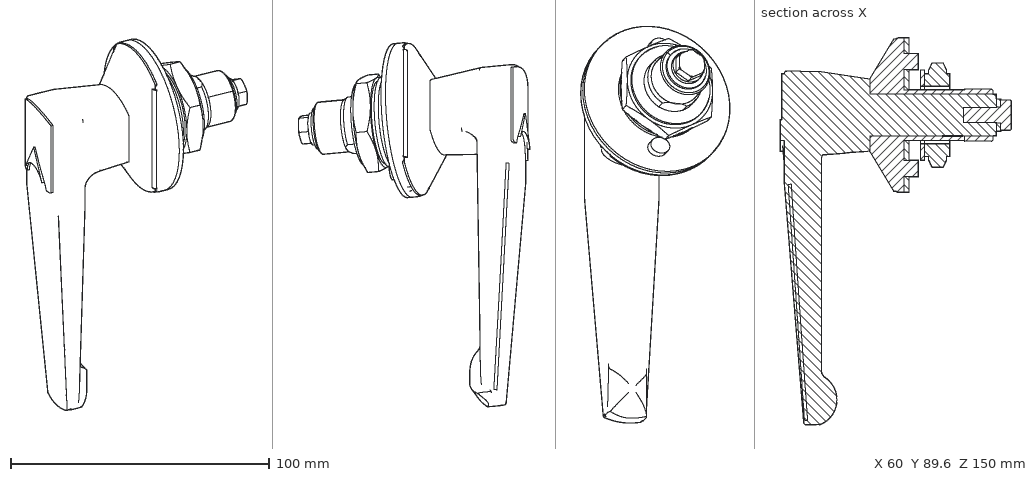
import cadquery as cq
import math


rosette_radius = 30.0
gasket_thickness = 1.8
rosette_face_y = -6.0
rim_fillet = 2.1
rosette_top_y = -15.3
shoulder_base_half_width = 17.2
shoulder_base_radius = 29.5
shoulder_foot_fillet = 1.8
shoulder_foot_length = 44.4
shoulder_edge_fillet = 1.0
stud_offset = 20.7
stud_length = 3.6
stud_width = 7.8
stud_height = 6.5

housing_radius = 11.1
housing_flat = 9.9
housing_shoulder_y = 20.0
housing_end_y = 21.5
shaft_radius = 8.1
shaft_end_y = 33.7

collar_radius = 10.2
collar_end_y = 32.5
collar_chamfer = 0.6
lug_start_angle = 39.0
lug_end_angle = 123.0

washer_radius = 17.5
washer_start_y = 4.3
washer_end_y = 6.0
nut_boss_radius = 16.12
nut_hex_start_y = 7.5
nut_hex_end_y = 14.5
nut_end_y = 15.7
nut_across_flats = 35.1
nut_corner_chamfer = 1.3

bolt_washer_radius = 6.3
bolt_washer_end_y = 35.5
bolt_end_y = 39.6
bolt_head_corner_diameter = 11.8
bolt_head_chamfer = 0.5
bolt_radius = 3.0
bolt_shank_end_y = 21.0

head_half_width = 13.3
head_arc_radius = 25.2
neck_height = 14.1
head_top = 17.1
neck_end_y = -35.1
neck_end_bottom = -15.6
lever_rear_y = -33.9
neck_corner_radius = 6.0
head_front_y = -49.3
lever_front_y = -48.5
crown_sag = 1.8
lever_break_z = -25.5
lever_taper_z = -26.8
lever_end_z = rosette_radius - 150.0
lever_end_front_y = -40.8
lever_end_half_width = 8.0
lever_end_sag = 1.0
handle_edge_fillet = 1.0
head_front_fillet = 1.0

bulb_radius = 10.3
bulb_center_y = -38.2
bulb_center_z = -110.2
bulb_edge_y = -34.2
bulb_blend_radius = 3.3

panel_half_width = 11.4
panel_bottom = -17.2
panel_corner_radius = 0.9
panel_arch_radius = 8.4
panel_arch_top = -9.9
arrow_tip_z = -1.8
arrow_front_y = -50.0


def at_y(y):
    """Sketch plane across the turning axis: local x is X, local y is Z, extrusion runs toward -Y."""
    return cq.Workplane("XZ", origin=(0, y, 0))


def disc(radius, start_y, end_y):
    """Cylinder about the turning axis from start_y back to end_y."""
    return at_y(end_y).circle(radius).extrude(end_y - start_y)


def arc_sag(half_width, radius):
    return radius - math.sqrt(radius**2 - half_width**2)


def barrel(plane, half_width, top, bottom, radius):
    """Upright-sided outline with arcs of one radius bulging at the top and the bottom."""
    sag = arc_sag(half_width, radius)
    return (
        plane.moveTo(-half_width, bottom + sag)
        .threePointArc((0, bottom), (half_width, bottom + sag))
        .lineTo(half_width, top - sag)
        .threePointArc((0, top), (-half_width, top - sag))
        .close()
    )


def barrel_loft(start_y, start_outline, end_y, end_outline):
    start = barrel(at_y(start_y), *start_outline)
    end = barrel(start.workplane(offset=start_y - end_y), *end_outline)
    return end.loft(ruled=True, combine=True)


def revolved(points):
    """Turns (radius, y) points about the turning axis."""
    return cq.Workplane("XY").polyline(points).close().revolve(360, (0, 0, 0), (0, 1, 0))


def studs(start_y):
    pair = at_y(stud_length).pushPoints([(0, stud_offset), (0, -stud_offset)])
    return pair.ellipse(stud_width / 2, stud_height / 2).extrude(stud_length - start_y)


def housing_tube(start_y):
    outside = revolved([
        (0, start_y),
        (housing_radius, start_y),
        (housing_radius, housing_shoulder_y),
        (collar_radius, housing_end_y),
        (0, housing_end_y),
    ])
    length = housing_end_y - start_y
    flats = at_y(housing_end_y).rect(2 * housing_radius, 2 * housing_flat).extrude(length)
    return outside.intersect(flats)


def collar_ring():
    end_edge = disc(collar_radius, housing_end_y, collar_end_y).faces(">Y").chamfer(collar_chamfer)
    return end_edge.cut(disc(shaft_radius, housing_end_y, collar_end_y))


def lug_sector():
    """Wedge that divides the ring behind the housing into stop lug and collar."""
    reach = 3 * collar_radius
    corners = [(0, 0)]
    for angle in (lug_start_angle, (lug_start_angle + lug_end_angle) / 2, lug_end_angle):
        turn = math.radians(angle)
        corners.append((reach * math.cos(turn), reach * math.sin(turn)))
    return at_y(collar_end_y).polyline(corners).close().extrude(collar_end_y - housing_end_y)


def shoulder_feet():
    """Concave rounding between the rosette face and the two sloped sides of the shoulder."""
    slope = math.atan2(shoulder_base_half_width - head_half_width, rosette_face_y - rosette_top_y)
    reach = shoulder_foot_fillet * math.tan((math.pi / 2 - slope) / 2)
    face_x = shoulder_base_half_width + reach
    slope_point = (
        shoulder_base_half_width - reach * math.sin(slope),
        rosette_face_y - reach * math.cos(slope),
    )
    foot = (
        cq.Workplane("XY", origin=(0, 0, -shoulder_foot_length / 2))
        .moveTo(face_x, rosette_face_y)
        .radiusArc(slope_point, shoulder_foot_fillet)
        .lineTo(slope_point[0], -gasket_thickness)
        .lineTo(face_x, -gasket_thickness)
        .close()
        .extrude(shoulder_foot_length)
    )
    return foot.union(foot.mirror("YZ"))


def make_rosette():
    back_y = -gasket_thickness
    plate = disc(rosette_radius, rosette_face_y, back_y).faces("<Y").edges().fillet(rim_fillet)
    base = (shoulder_base_half_width, shoulder_base_radius, -shoulder_base_radius, shoulder_base_radius)
    top = (head_half_width, neck_height, -neck_height, head_arc_radius)
    shoulder = barrel_loft(rosette_face_y, base, rosette_top_y, top)
    slanted_edges = cq.selectors.BoxSelector(
        (-rosette_radius, rosette_top_y + 0.1, -rosette_radius),
        (rosette_radius, rosette_face_y - 0.1, rosette_radius),
    )
    shoulder = shoulder.edges(slanted_edges).fillet(shoulder_edge_fillet)
    seat = barrel(at_y(back_y), *base).extrude(back_y - rosette_face_y)
    body = plate.union(seat.union(shoulder)).union(shoulder_feet())
    body = body.union(housing_tube(back_y)).union(studs(back_y))
    body = body.cut(disc(shaft_radius, rosette_top_y, housing_end_y))
    return body.union(collar_ring().intersect(lug_sector()))


def make_gasket():
    plate = disc(rosette_radius, -gasket_thickness, 0)
    return plate.cut(housing_tube(-gasket_thickness)).cut(studs(-gasket_thickness))


def make_washer():
    return disc(washer_radius, washer_start_y, washer_end_y).cut(
        disc(housing_radius, washer_start_y, washer_end_y)
    )


def make_nut():
    flat_radius = nut_across_flats / 2
    corner_diameter = nut_across_flats / math.cos(math.pi / 6)
    hexagon = (
        at_y(nut_hex_end_y)
        .polygon(6, corner_diameter)
        .extrude(nut_hex_end_y - nut_hex_start_y)
        .rotate((0, 0, 0), (0, 1, 0), 90)
    )
    corner_cone = revolved([
        (0, nut_hex_start_y),
        (flat_radius, nut_hex_start_y),
        (corner_diameter / 2, nut_hex_start_y + nut_corner_chamfer),
        (corner_diameter / 2, nut_hex_end_y - nut_corner_chamfer),
        (flat_radius, nut_hex_end_y),
        (0, nut_hex_end_y),
    ])
    bosses = disc(nut_boss_radius, washer_end_y, nut_end_y)
    bore = disc(housing_radius, washer_end_y, nut_end_y)
    return hexagon.intersect(corner_cone).union(bosses).cut(bore)


def make_collar():
    return collar_ring().cut(lug_sector())


def make_bolt_washer():
    return disc(bolt_washer_radius, shaft_end_y, bolt_washer_end_y).cut(
        disc(bolt_radius, shaft_end_y, bolt_washer_end_y)
    )


def make_bolt():
    height = bolt_end_y - bolt_washer_end_y
    corner_radius = bolt_head_corner_diameter / 2
    head = at_y(bolt_end_y).polygon(6, bolt_head_corner_diameter).extrude(height)
    head = head.rotate((0, 0, 0), (0, 1, 0), 90)
    rounded = disc(corner_radius, bolt_washer_end_y, bolt_end_y).faces(">Y").chamfer(bolt_head_chamfer)
    return head.intersect(rounded).union(disc(bolt_radius, bolt_shank_end_y, bolt_washer_end_y))


def crown_cylinder(front_y):
    """Large upright cylinder whose surface is the crowned front, with its middle at front_y."""
    radius = (head_half_width**2 + crown_sag**2) / (2 * crown_sag)
    reach = rosette_radius - 2 * lever_end_z
    return cq.Workplane("XY", origin=(0, front_y + radius, -reach / 2)).circle(radius).extrude(reach)


def bar_outline():
    """Front outline of head and lever: arched top, straight head, tapered lever, arched end."""
    top_side = head_top - arc_sag(head_half_width, head_arc_radius)
    end_side = lever_end_z + lever_end_sag
    return (
        at_y(lever_rear_y)
        .moveTo(-head_half_width, top_side)
        .lineTo(-head_half_width, lever_taper_z)
        .lineTo(-lever_end_half_width, end_side)
        .threePointArc((0, lever_end_z), (lever_end_half_width, end_side))
        .lineTo(head_half_width, lever_taper_z)
        .lineTo(head_half_width, top_side)
        .threePointArc((0, head_top), (-head_half_width, top_side))
        .close()
    )


def bar():
    """Head and lever with a crowned front that slopes back along the lever."""
    block = bar_outline().extrude(lever_rear_y - head_front_y)
    rise = lever_end_front_y - lever_front_y
    tilt = math.degrees(math.atan2(rise, lever_break_z - lever_end_z))
    pivot = (0, lever_front_y, lever_break_z)
    slanted_crown = crown_cylinder(lever_front_y).rotate(pivot, (1, lever_front_y, lever_break_z), tilt)
    return block.intersect(crown_cylinder(lever_front_y)).intersect(slanted_crown)


def rounded_bar():
    """The bar with its outer edges rounded, stepped back where the neck joins the head."""
    crown_crease = cq.selectors.BoxSelector(
        (-panel_half_width, head_front_y, lever_taper_z - 0.1),
        (panel_half_width, lever_rear_y, lever_break_z + 0.1),
    )
    side_creases = cq.selectors.BoxSelector(
        (-head_half_width - 0.1, lever_front_y + crown_sag + 0.7, lever_taper_z - 0.1),
        (head_half_width + 0.1, lever_rear_y - 0.1, lever_break_z + 0.1),
    )
    body = bar().edges(-(crown_crease + side_creases)).fillet(handle_edge_fillet)
    above_neck = (
        at_y(lever_rear_y)
        .center(0, head_top / 2)
        .rect(2 * head_half_width, head_top)
        .extrude(lever_rear_y - neck_end_y)
    )
    return body.cut(above_neck)


def neck():
    base = (head_half_width, neck_height, -neck_height, head_arc_radius)
    end = (head_half_width, head_top, neck_end_bottom, head_arc_radius)
    stem = barrel_loft(rosette_top_y, base, neck_end_y, end)
    long_edges = cq.selectors.BoxSelector(
        (-head_half_width - 1.5, neck_end_y + 0.1, -head_top),
        (head_half_width + 1.5, rosette_top_y - 0.1, head_top),
    )
    return stem.edges(long_edges).fillet(handle_edge_fillet)


def neck_corner():
    """Concave corner under the neck, which shows at the sides where the neck is shallowest."""
    side_bottom = neck_end_bottom + arc_sag(head_half_width, head_arc_radius)
    corner_end_y = lever_rear_y + neck_corner_radius
    outline = (
        cq.Workplane("YZ", origin=(-head_half_width, 0, 0))
        .moveTo(lever_rear_y, side_bottom - neck_corner_radius)
        .radiusArc((corner_end_y, side_bottom), neck_corner_radius)
        .lineTo(corner_end_y, side_bottom + 2 * handle_edge_fillet)
        .lineTo(neck_end_y, side_bottom + 2 * handle_edge_fillet)
        .lineTo(neck_end_y, side_bottom - neck_corner_radius)
        .close()
    )
    return outline.extrude(2 * head_half_width).edges("%CIRCLE").fillet(handle_edge_fillet)


def bulb():
    """Finger stop behind the lever end, round in side view and across, blended into the lever."""
    blend_center_y = lever_rear_y + bulb_blend_radius
    center_distance = bulb_radius + bulb_blend_radius
    blend_center_z = bulb_center_z + math.sqrt(
        center_distance**2 - (blend_center_y - bulb_center_y) ** 2
    )
    share = bulb_radius / center_distance
    blend_start = (
        bulb_center_y + share * (blend_center_y - bulb_center_y),
        bulb_center_z + share * (blend_center_z - bulb_center_z),
    )
    profile = (
        cq.Workplane("YZ", origin=(-head_half_width, 0, 0))
        .moveTo(bulb_center_y, bulb_center_z - bulb_radius)
        .threePointArc((bulb_center_y + bulb_radius, bulb_center_z), blend_start)
        .radiusArc((lever_rear_y, blend_center_z), bulb_blend_radius)
        .lineTo(bulb_center_y, blend_center_z)
        .close()
        .extrude(2 * head_half_width)
    )
    peak = bulb_center_y + bulb_radius - bulb_edge_y
    cross_radius = (lever_end_half_width**2 + peak**2) / (2 * peak)
    cross_center_y = bulb_center_y + bulb_radius - cross_radius
    cross_section = (
        cq.Workplane("XY", origin=(0, cross_center_y, lever_end_z))
        .circle(cross_radius)
        .extrude(3 * bulb_radius)
    )
    sides = bar_outline().extrude(2 * bulb_radius, both=True)
    return profile.intersect(cross_section).intersect(sides)


def panel():
    """Raised panel on the head, with an arch cut into its lower edge."""
    arch_center = panel_arch_top - panel_arch_radius
    arch_half_width = math.sqrt(panel_arch_radius**2 - (panel_bottom - arch_center)**2)
    side_top = head_top - arc_sag(panel_half_width, head_arc_radius) - head_front_fillet
    outline = (
        at_y(lever_rear_y)
        .moveTo(-panel_half_width, panel_bottom)
        .lineTo(-arch_half_width, panel_bottom)
        .threePointArc((0, panel_arch_top), (arch_half_width, panel_bottom))
        .lineTo(panel_half_width, panel_bottom)
        .lineTo(panel_half_width, side_top)
        .threePointArc((0, head_top - head_front_fillet), (-panel_half_width, side_top))
        .close()
        .extrude(lever_rear_y - head_front_y)
    )
    corners = outline.edges("|Y").edges(
        cq.selectors.BoxSelector(
            (-head_half_width, arrow_front_y, panel_bottom - 1.5),
            (head_half_width, lever_rear_y + 1.5, panel_bottom + 1.5),
        )
    )
    return corners.fillet(panel_corner_radius).intersect(crown_cylinder(head_front_y))


def arrow():
    """Arrowhead whose straight sides run tangent into the arch of the panel."""
    arch_center = panel_arch_top - panel_arch_radius
    half_angle = math.asin(panel_arch_radius / (arrow_tip_z - arch_center))
    foot_x = panel_arch_radius * math.cos(half_angle)
    foot_z = arch_center + panel_arch_radius * math.sin(half_angle)
    outline = (
        at_y(lever_rear_y)
        .moveTo(0, arrow_tip_z)
        .lineTo(-foot_x, foot_z)
        .threePointArc((0, panel_arch_top), (foot_x, foot_z))
        .close()
    )
    return outline.extrude(lever_rear_y - arrow_front_y)


def make_handle():
    body = rounded_bar()
    body = body.union(neck()).union(neck_corner()).union(bulb())
    body = body.union(panel()).union(arrow())
    shaft = disc(shaft_radius, lever_rear_y, shaft_end_y)
    return body.union(shaft).cut(disc(bolt_radius, bolt_shank_end_y, shaft_end_y))


rosette = make_rosette()
gasket = make_gasket()
washer = make_washer()
nut = make_nut()
collar = make_collar()
bolt_washer = make_bolt_washer()
bolt = make_bolt()
handle = make_handle()

bodies = [rosette, gasket, washer, nut, collar, bolt_washer, bolt, handle]
result = cq.Compound.makeCompound([body.val() for body in bodies])